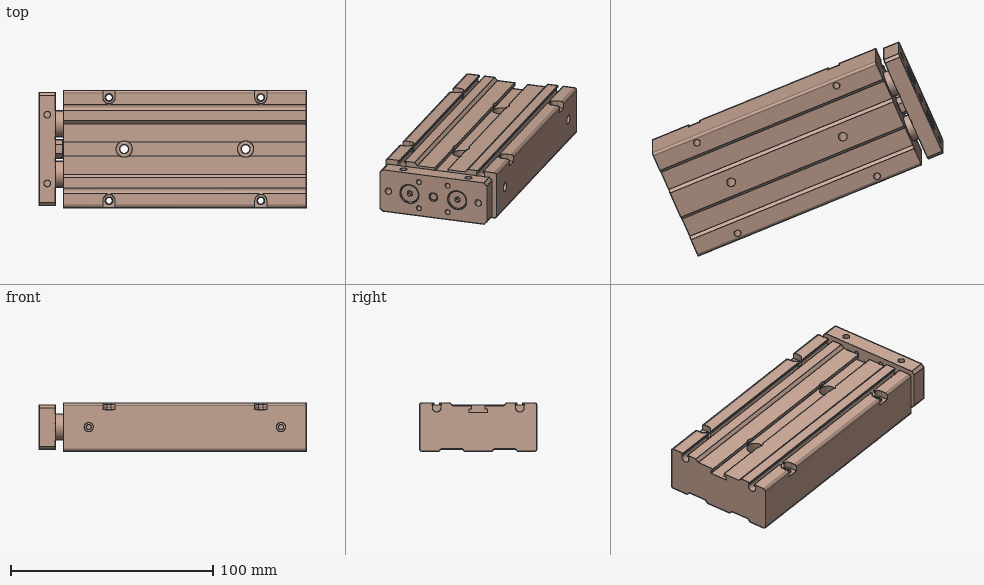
import cadquery as cq
import math

PLATE_LENGTH = 8.0
PLATE_WIDTH = 56.0
PLATE_HEIGHT = 22.0
PLATE_CHAMFER = 1.5
GAP = 4.0
HOUSING_LENGTH = 120.0
HOUSING_WIDTH = 58.0
HOUSING_HEIGHT = 24.0
HOUSING_FILLET = 1.25

HOUSING_START = PLATE_LENGTH + GAP
HOUSING_MID = HOUSING_START + HOUSING_LENGTH / 2
HOUSING_TOP = HOUSING_HEIGHT / 2

RELIEF_DEPTH = 1.5
TOP_RELIEF_WIDTH = 28.0
BOTTOM_RELIEF_INNER = 6.8
BOTTOM_RELIEF_OUTER = 19.5

CENTRE_SLOT_NECK_WIDTH = 6.8
CENTRE_SLOT_NECK_DEPTH = 1.6
CENTRE_SLOT_WIDTH = 9.3
CENTRE_SLOT_DEPTH = 3.2

SENSOR_GROOVE_OFFSET = 20.55
SENSOR_NECK_WIDTH = 2.8
SENSOR_NECK_DEPTH = 0.8
SENSOR_CHANNEL_WIDTH = 4.3
SENSOR_ROUND_DEPTH = 2.4

CORNER_SPACING_X = 75.0
CORNER_OFFSET_Y = 25.5
NOTCH_WIDTH = 6.0
NOTCH_DEPTH = 3.4
NOTCH_OUTLET_WIDTH = 2.0
CORNER_HOLE_DIAMETER = 3.3
CORNER_HOLE_RIM_DIAMETER = 3.8

CENTRE_HOLE_SPACING = 60.0
CENTRE_HOLE_DIAMETER = 4.3
CENTRE_BORE_DIAMETER = 8.0
CENTRE_BORE_DEPTH = 10.0

PORT_SPACING = 95.0
PORT_DIAMETER = 4.5
PORT_DEPTH = 4.0
PORT_PASSAGE_DIAMETER = 2.5
PORT_PASSAGE_DEPTH = 6.0

ROD_OFFSET = 12.5
ROD_COLLAR_DIAMETER = 13.0
ROD_END_DIAMETER = 10.0
ROD_SOCKET_SIZE = 2.5
ROD_SOCKET_DEPTH = 3.0
HEXAGON_CORNER_UP = 30.0
SCREW_END_DIAMETER = 4.5
END_RECESS_DEPTH = 0.5
NUT_WIDTH_ACROSS_FLATS = 8.0
NUT_LENGTH = 3.6
SCREW_DIAMETER = 5.0

PLATE_OUTER_HOLE_DIAMETER = 3.3
PLATE_OUTER_HOLE_OFFSET = 23.5
PLATE_INNER_HOLE_DIAMETER = 2.5
PLATE_INNER_HOLE_SPACING_Y = 15.0
PLATE_INNER_HOLE_SPACING_Z = 14.0
PLATE_TOP_HOLE_DIAMETER = 3.3
PLATE_TOP_HOLE_OFFSET = 17.0
PLATE_TOP_HOLE_DEPTH = 5.0


def hexagon_circumdiameter(across_flats):
    return across_flats / math.cos(math.pi / 6)


def lengthwise_trapezoid(y_from, y_to, surface_z, depth):
    """Cutter along the housing, 45 degree sides, down from surface_z; negative depth cuts up."""
    inset = abs(depth)
    floor_z = surface_z - depth
    outline = [
        (y_from, surface_z),
        (y_to, surface_z),
        (y_to - inset, floor_z),
        (y_from + inset, floor_z),
    ]
    return cq.Workplane("YZ", origin=(HOUSING_START, 0, 0)).polyline(outline).close().extrude(HOUSING_LENGTH)


def lengthwise_box(y_centre, width, top_z, depth):
    return cq.Workplane("XY").box(HOUSING_LENGTH, width, depth, centered=(False, True, False)).translate(
        (HOUSING_START, y_centre, top_z - depth)
    )


def centre_slot(top_z):
    neck = lengthwise_box(0, CENTRE_SLOT_NECK_WIDTH, top_z, CENTRE_SLOT_DEPTH)
    undercut_height = CENTRE_SLOT_DEPTH - CENTRE_SLOT_NECK_DEPTH
    undercut = lengthwise_box(0, CENTRE_SLOT_WIDTH, top_z - CENTRE_SLOT_NECK_DEPTH, undercut_height)
    return neck.union(undercut)


def sensor_groove(y_centre):
    half_channel = SENSOR_CHANNEL_WIDTH / 2
    neck = lengthwise_box(y_centre, SENSOR_NECK_WIDTH, HOUSING_TOP, SENSOR_ROUND_DEPTH)
    channel = (
        cq.Workplane("YZ", origin=(HOUSING_START, y_centre, HOUSING_TOP))
        .moveTo(-half_channel, -SENSOR_NECK_DEPTH)
        .lineTo(-half_channel, -SENSOR_ROUND_DEPTH)
        .threePointArc((0, -SENSOR_ROUND_DEPTH - half_channel), (half_channel, -SENSOR_ROUND_DEPTH))
        .lineTo(half_channel, -SENSOR_NECK_DEPTH)
        .close()
        .extrude(HOUSING_LENGTH)
    )
    return neck.union(channel)


def corner_mount(x, side):
    """Notch, its outlet into the sensor groove and rimmed hole at one corner; side is +1 or -1 along Y."""
    y_centre = side * CORNER_OFFSET_Y
    floor_z = HOUSING_TOP - NOTCH_DEPTH
    rim_depth = (CORNER_HOLE_RIM_DIAMETER - CORNER_HOLE_DIAMETER) / 2
    round_end = cq.Workplane("XY", origin=(x, y_centre, floor_z)).circle(NOTCH_WIDTH / 2).extrude(NOTCH_DEPTH)
    open_end = cq.Workplane("XY", origin=(x, y_centre + side * NOTCH_WIDTH / 2, floor_z)).box(
        NOTCH_WIDTH, NOTCH_WIDTH, NOTCH_DEPTH, centered=(True, True, False)
    )
    outlet_length = CORNER_OFFSET_Y - SENSOR_GROOVE_OFFSET
    outlet = cq.Workplane("XY", origin=(x, y_centre - side * outlet_length / 2, floor_z)).box(
        NOTCH_OUTLET_WIDTH, outlet_length, NOTCH_DEPTH, centered=(True, True, False)
    )
    hole = (
        cq.Workplane("XY", origin=(x, y_centre, -HOUSING_TOP))
        .circle(CORNER_HOLE_DIAMETER / 2)
        .extrude(HOUSING_HEIGHT)
    )
    rim = cq.Workplane(
        cq.Solid.makeCone(
            CORNER_HOLE_RIM_DIAMETER / 2,
            CORNER_HOLE_DIAMETER / 2,
            rim_depth,
            pnt=cq.Vector(x, y_centre, floor_z),
            dir=cq.Vector(0, 0, -1),
        )
    )
    return round_end.union(open_end).union(outlet).union(hole).union(rim)


def centre_mount(x):
    """Counterbored hole through the floor of the centre T-slot."""
    top = cq.Workplane("XY", origin=(x, 0, HOUSING_TOP))
    hole = top.circle(CENTRE_HOLE_DIAMETER / 2).extrude(-HOUSING_HEIGHT)
    bore = top.circle(CENTRE_BORE_DIAMETER / 2).extrude(-CENTRE_BORE_DEPTH)
    return hole.union(bore)


def air_port(x):
    side = cq.Workplane("XZ", origin=(x, -HOUSING_WIDTH / 2, 0))
    port = side.circle(PORT_DIAMETER / 2).extrude(-PORT_DEPTH)
    passage = side.circle(PORT_PASSAGE_DIAMETER / 2).extrude(-(PORT_DEPTH + PORT_PASSAGE_DEPTH))
    return port.union(passage)


def make_housing():
    body = (
        cq.Workplane("XY")
        .box(HOUSING_LENGTH, HOUSING_WIDTH, HOUSING_HEIGHT)
        .translate((HOUSING_MID, 0, 0))
        .edges("|X")
        .fillet(HOUSING_FILLET)
    )

    half_relief = TOP_RELIEF_WIDTH / 2
    body = body.cut(lengthwise_trapezoid(-half_relief, half_relief, HOUSING_TOP, RELIEF_DEPTH))
    body = body.cut(centre_slot(HOUSING_TOP - RELIEF_DEPTH))
    for y_from, y_to in (
        (BOTTOM_RELIEF_INNER, BOTTOM_RELIEF_OUTER),
        (-BOTTOM_RELIEF_OUTER, -BOTTOM_RELIEF_INNER),
    ):
        body = body.cut(lengthwise_trapezoid(y_from, y_to, -HOUSING_TOP, -RELIEF_DEPTH))

    for side in (-1, 1):
        body = body.cut(sensor_groove(side * SENSOR_GROOVE_OFFSET))
        for end in (-1, 1):
            body = body.cut(corner_mount(HOUSING_MID + end * CORNER_SPACING_X / 2, side))

    for end in (-1, 1):
        body = body.cut(centre_mount(HOUSING_MID + end * CENTRE_HOLE_SPACING / 2))
        body = body.cut(air_port(HOUSING_MID + end * PORT_SPACING / 2))
    return body


def tapered_recess(y_centre, diameter):
    """Shallow 45 degree recess around a rod or screw end in the -X face of the plate."""
    return cq.Workplane(
        cq.Solid.makeCone(
            diameter / 2,
            diameter / 2 - END_RECESS_DEPTH,
            END_RECESS_DEPTH,
            pnt=cq.Vector(0, y_centre, 0),
            dir=cq.Vector(1, 0, 0),
        )
    )


def make_plate_assembly():
    body = (
        cq.Workplane("XY")
        .box(PLATE_LENGTH, PLATE_WIDTH, PLATE_HEIGHT)
        .translate((PLATE_LENGTH / 2, 0, 0))
        .edges("|X")
        .chamfer(PLATE_CHAMFER)
    )
    back_face = cq.Workplane("YZ", origin=(PLATE_LENGTH, 0, 0))
    front_face = cq.Workplane("YZ")
    rod_centres = [(-ROD_OFFSET, 0), (ROD_OFFSET, 0)]

    body = body.union(back_face.pushPoints(rod_centres).circle(ROD_COLLAR_DIAMETER / 2).extrude(GAP))
    body = body.union(back_face.polygon(6, hexagon_circumdiameter(NUT_WIDTH_ACROSS_FLATS)).extrude(NUT_LENGTH))
    body = body.union(back_face.circle(SCREW_DIAMETER / 2).extrude(GAP))

    body = body.cut(tapered_recess(0, SCREW_END_DIAMETER))
    for y_centre, _ in rod_centres:
        body = body.cut(tapered_recess(y_centre, ROD_END_DIAMETER))
        socket = cq.Workplane("YZ").polygon(6, hexagon_circumdiameter(ROD_SOCKET_SIZE)).extrude(ROD_SOCKET_DEPTH)
        socket = socket.rotate((0, 0, 0), (1, 0, 0), HEXAGON_CORNER_UP).translate((0, y_centre, 0))
        body = body.cut(socket)

    body = body.cut(
        front_face.pushPoints([(-PLATE_OUTER_HOLE_OFFSET, 0), (PLATE_OUTER_HOLE_OFFSET, 0)])
        .circle(PLATE_OUTER_HOLE_DIAMETER / 2)
        .extrude(PLATE_LENGTH)
    )
    body = body.cut(
        front_face.rect(PLATE_INNER_HOLE_SPACING_Y, PLATE_INNER_HOLE_SPACING_Z, forConstruction=True)
        .vertices()
        .circle(PLATE_INNER_HOLE_DIAMETER / 2)
        .extrude(PLATE_LENGTH)
    )
    body = body.cut(
        cq.Workplane("XY", origin=(PLATE_LENGTH / 2, 0, PLATE_HEIGHT / 2))
        .pushPoints([(0, -PLATE_TOP_HOLE_OFFSET), (0, PLATE_TOP_HOLE_OFFSET)])
        .circle(PLATE_TOP_HOLE_DIAMETER / 2)
        .extrude(-PLATE_TOP_HOLE_DEPTH)
    )
    return body


housing = make_housing()
plate_assembly = make_plate_assembly()

result = cq.Compound.makeCompound([housing.val(), plate_assembly.val()])